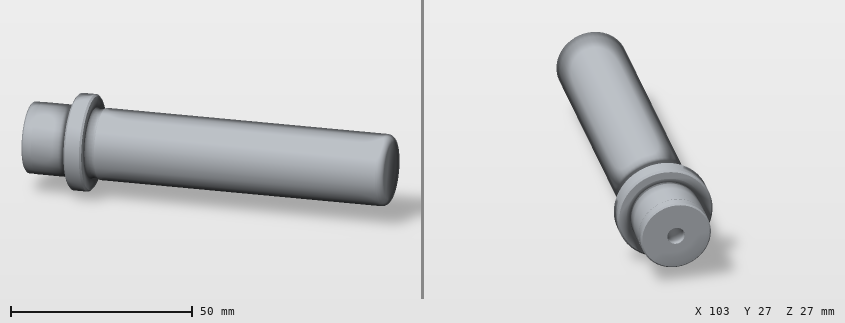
import cadquery as cq

length = 103.0
flange_start = 13.0
flange_width = 5.0
flange_end = flange_start + flange_width

shaft_radius = 10.0
flange_radius = 13.5
flange_chamfer = 0.5

lead_step = 0.05
lead_radius = shaft_radius - lead_step
lead_length = 2.8
lead_chamfer = 0.4

undercut_depth = 0.2
undercut_radius = shaft_radius - undercut_depth
undercut_start = 11.9
undercut_ramp = 0.3
face_relief_depth = 0.2
face_relief_radius = 10.9

neck_depth = 0.5
neck_radius = shaft_radius - neck_depth
flange_side_length = 1.2
flange_side_rise = 0.4
shaft_side_length = 1.5
neck_bottom = flange_end + flange_side_length
neck_end = neck_bottom + shaft_side_length

end_round = 2.0
hole_radius = 2.5
hole_depth = 12.4
drill_tip_length = 1.5


def tangent_arc_radius(run, rise):
    """Radius of an arc that starts parallel to the axis and climbs by rise over run."""
    return (run**2 + rise**2) / (2 * rise)


def make_pin():
    """Revolve the stepped half-section about the X axis."""
    profile = (
        cq.Workplane("XZ")
        .lineTo(0, lead_radius - lead_chamfer)
        .lineTo(lead_chamfer, lead_radius)
        .lineTo(lead_length, lead_radius)
        .lineTo(lead_length, shaft_radius)
        .lineTo(undercut_start, shaft_radius)
        .lineTo(undercut_start + undercut_ramp, undercut_radius)
        .lineTo(flange_start + face_relief_depth, undercut_radius)
        .lineTo(flange_start, face_relief_radius)
        .lineTo(flange_start, flange_radius - flange_chamfer)
        .lineTo(flange_start + flange_chamfer, flange_radius)
        .lineTo(flange_end - flange_chamfer, flange_radius)
        .lineTo(flange_end, flange_radius - flange_chamfer)
        .lineTo(flange_end, neck_radius + flange_side_rise)
        .radiusArc((neck_bottom, neck_radius), -tangent_arc_radius(flange_side_length, flange_side_rise))
        .radiusArc((neck_end, shaft_radius), -tangent_arc_radius(shaft_side_length, neck_depth))
        .lineTo(length - end_round, shaft_radius)
        .radiusArc((length, shaft_radius - end_round), end_round)
        .lineTo(length, 0)
        .close()
    )
    return profile.revolve(360, (0, 0, 0), (1, 0, 0))


def make_drilled_hole():
    """Cylinder from the left face inward, ending in a conical drill tip."""
    section = (
        cq.Workplane("XZ")
        .lineTo(0, hole_radius)
        .lineTo(hole_depth, hole_radius)
        .lineTo(hole_depth + drill_tip_length, 0)
        .close()
    )
    return section.revolve(360, (0, 0, 0), (1, 0, 0))


result = make_pin().cut(make_drilled_hole())